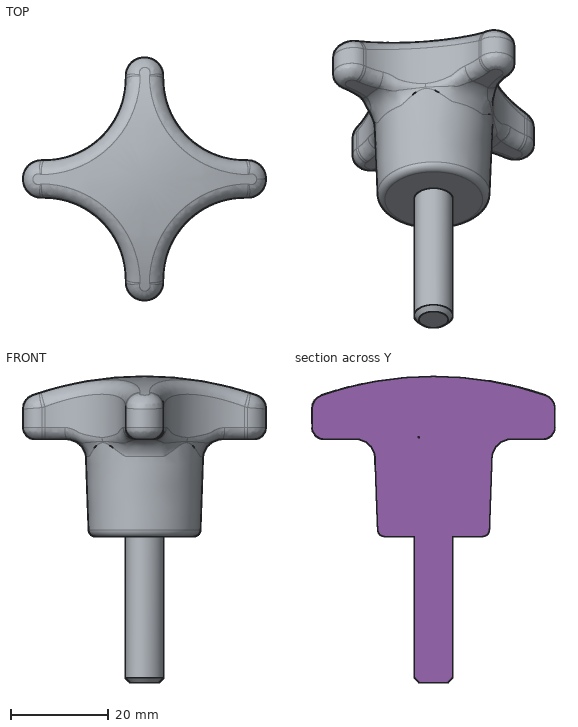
import cadquery as cq
import math

hub_base_radius = 11.5
hub_taper = math.radians(2.0)
hub_base_round = 1.5

head_top = 33.0
arm_underside = 20.0
dome_radius = 70.0
tip_reach = 25.0
arm_half_width = 3.9
tip_center = tip_reach - arm_half_width
scallop_end = 20.5
scallop_radius = scallop_end - arm_half_width
top_round = 3.0
bottom_round = 2.5
arm_count = 4
arm_pitch = 360 / arm_count

flare_radius = 3.9
flare_overlap = 0.01
flare_height = arm_underside - flare_radius
flare_center = (
    hub_base_radius + flare_height * math.tan(hub_taper) + flare_radius / math.cos(hub_taper) - flare_overlap
)

undercut_steps = 24
undercut_bottom = 10.0
undercut_reach = tip_reach + 5.0
undercut_foot = flare_center - flare_radius - 1.5

stud_radius = 4.0
stud_length = 30.0
stud_chamfer = 1.0

joint_overlap = 2.0
rim_band = 0.5
edge_tolerance = 0.01


def turned(x, y, quarter):
    """Point (x, y) turned about the axis by a number of arm pitches."""
    angle = math.radians(arm_pitch * quarter)
    return (
        x * math.cos(angle) - y * math.sin(angle),
        x * math.sin(angle) + y * math.cos(angle),
    )


def star_outline(height):
    """Four round-tipped arms joined by concave quarter-circle scallops."""
    scallop_middle = scallop_end - scallop_radius * math.sqrt(0.5)
    outline = cq.Workplane("XY").workplane(offset=height).moveTo(tip_center, -arm_half_width)
    for quarter in range(arm_count):
        outline = (
            outline.threePointArc(turned(tip_reach, 0, quarter), turned(tip_center, arm_half_width, quarter))
            .lineTo(*turned(scallop_end, arm_half_width, quarter))
            .threePointArc(
                turned(scallop_middle, scallop_middle, quarter),
                turned(arm_half_width, scallop_end, quarter),
            )
            .lineTo(*turned(arm_half_width, tip_center, quarter))
        )
    return outline.close()


def flare_lift(azimuth):
    """Rise of the flare at an angle (degrees) from the arm's centre line.

    Under the arm the flare is tangent to the flat underside. Nearer the scallop's middle the ledge
    is narrower than the flare, which moves up so that it still runs out at the ledge's rim.
    """
    from_diagonal = math.radians(arm_pitch / 2 - abs(azimuth))
    scallop_distance = scallop_end * math.sqrt(2)
    across = scallop_distance * math.sin(from_diagonal)
    if across >= scallop_radius:
        return 0.0
    along = scallop_distance * math.cos(from_diagonal)
    rim_radius = along - math.sqrt(scallop_radius**2 - across**2)
    rim_to_center = max(flare_center - rim_radius, 0.0)
    return flare_radius - math.sqrt(flare_radius**2 - rim_to_center**2)


def undercut_section(azimuth):
    """Outline of the space beside the hub and below the arm, in a plane through the axis."""
    angle = math.radians(azimuth)
    center_height = flare_height + flare_lift(azimuth)
    top = center_height + flare_radius
    diagonal = flare_radius * math.sqrt(0.5)

    def at(radius, height):
        return cq.Vector(radius * math.cos(angle), radius * math.sin(angle), height)

    flare_start = at(flare_center - flare_radius, center_height)
    flare_middle = at(flare_center - diagonal, center_height + diagonal)
    flare_end = at(flare_center, top)
    corners = [
        flare_end,
        at(undercut_reach, top),
        at(undercut_reach, undercut_bottom),
        at(undercut_foot, undercut_bottom),
        flare_start,
    ]
    flare = cq.Edge.makeThreePointArc(flare_start, flare_middle, flare_end)
    sides = [cq.Edge.makeLine(start, end) for start, end in zip(corners, corners[1:])]
    return cq.Wire.assembleEdges([flare] + sides)


def make_undercut():
    """Space to remove under one arm, from the middle of one scallop to the next."""
    first = -arm_pitch / 2
    step = arm_pitch / undercut_steps
    sections = [undercut_section(first + step * index) for index in range(undercut_steps + 1)]
    return cq.Workplane(cq.Solid.makeLoft(sections))


def make_head():
    """Domed star with its top edge rounded and its underside cut to the flared shape."""
    star_bottom = undercut_bottom + joint_overlap
    dome = cq.Workplane("XY").sphere(dome_radius).translate((0, 0, head_top - dome_radius))
    head = star_outline(star_bottom).extrude(head_top - star_bottom).intersect(dome)
    head = head.faces(cq.selectors.TypeSelector("SPHERE")).edges().fillet(top_round)
    undercut = make_undercut()
    for quarter in range(arm_count):
        head = head.cut(undercut.rotate((0, 0, 0), (0, 0, 1), arm_pitch * quarter))
    return head


def make_hub():
    """Tapered hub that reaches a little way up into the head."""
    hub_top = arm_underside + joint_overlap
    profile = (
        cq.Workplane("XZ")
        .lineTo(hub_base_radius, 0)
        .lineTo(hub_base_radius + hub_top * math.tan(hub_taper), hub_top)
        .lineTo(0, hub_top)
        .close()
    )
    hub = profile.revolve(360, (0, 0, 0), (0, 1, 0))
    return hub.faces("<Z").edges().fillet(hub_base_round)


def is_underside_rim(edge):
    """True for the edges where the star's side walls meet the underside or the flares."""
    box = edge.BoundingBox()
    near_underside = box.zmin > arm_underside - rim_band and box.zmax < arm_underside + rim_band
    start = edge.positionAt(0)
    middle = edge.positionAt(0.5)
    radius_change = math.hypot(start.x, start.y) - math.hypot(middle.x, middle.y)
    return near_underside and abs(radius_change) > edge_tolerance


def make_stud():
    """Plain stud below the hub, chamfered at its free end."""
    stud = cq.Workplane("XY").workplane(offset=joint_overlap).circle(stud_radius)
    stud = stud.extrude(-stud_length - joint_overlap)
    return stud.faces("<Z").edges().chamfer(stud_chamfer)


knob = make_head().union(make_hub())
knob = knob.edges().filter(is_underside_rim).fillet(bottom_round)
result = knob.union(make_stud())